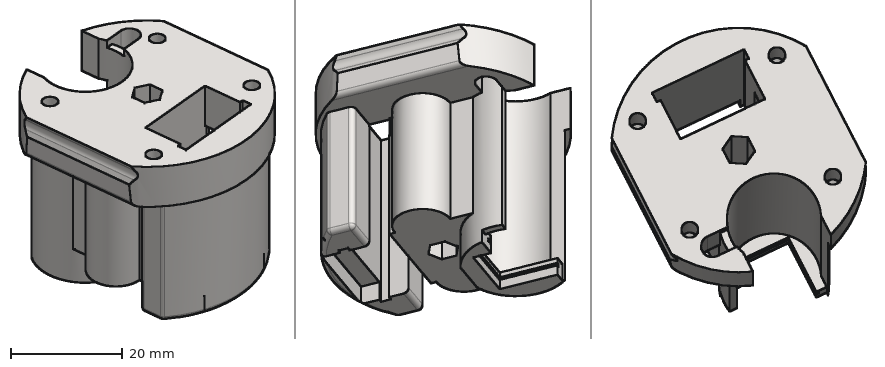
import cadquery as cq
import math

overall_length = 44.6
deck_thickness = 8.8
core_bottom = -33.73
leg_bottom = -34.75
tube_bottom = -41.0
deck_bottom = -deck_thickness

tube_x = -14.35
tube_radius = 9.95
tube_flat_x = -5.1
bore_radius = 8.48
mouth_half_width = 7.8

deck_radius = (overall_length**2 + mouth_half_width**2) / (2 * overall_length)

side_distance = 19.515
ridge_distance = 19.695
groove_floor_distance = 18.83
groove_edge_distance = 19.2
groove_top = -0.9
groove_bottom = -3.0
ridge_z = -4.05

edge_radius = 1.0

floor_top = -37.45
floor_front_x = -20.0
opening_half_width = 5.7
opening_back_x = -8.55
slit_top = -38.45
slit_bottom = -39.0
slit_y_min = -6.25
slit_y_max = 6.8
slit_back_x = -7.6

cable_x_min = -16.15
cable_x_max = -12.1
cable_y_end = 14.28
cable_step_z = -1.55
cable_radius = (cable_x_max - cable_x_min) / 2

core_half_width = 8.9
post_radius = 5.5
hex_across_flats = 5.05

pocket_x_min = 6.5
pocket_x_max = 16.55
pocket_half_width = 8.48
strip_x_min = 14.65
strip_half_width = 9.25

leg_x_min = 10.75
leg_half_width = 15.25
leg_radius = 22.05
notch_x_max = 20.15
notch_top = -30.95

screw_diameter = 3.0
screw_depth = 6.7
drill_tip_angle = 118
screw_places = [(-9.55, 14.55), (12.95, 13.9), (-12.0, -13.0), (12.95, -14.05)]

beyond = overall_length


def box(x_min, x_max, y_min, y_max, z_min, z_max):
    size = (x_max - x_min, y_max - y_min, z_max - z_min)
    return cq.Workplane("XY", origin=(x_min, y_min, z_min)).box(*size, centered=False)


def cylinder(radius, x, y, z_min, z_max):
    return cq.Workplane("XY", origin=(x, y, z_min)).circle(radius).extrude(z_max - z_min)


def make_deck():
    """Disc cut to two parallel sides, each with a round groove, a ridge and a rounded lower edge."""
    groove_middle = (groove_top + groove_bottom) / 2
    arc_inset = edge_radius * (1 - math.sqrt(0.5))
    half_slab = (
        cq.Workplane("YZ", origin=(-beyond, 0, 0))
        .lineTo(side_distance, 0)
        .lineTo(groove_edge_distance, groove_top)
        .threePointArc((groove_floor_distance, groove_middle), (groove_edge_distance, groove_bottom))
        .lineTo(ridge_distance, ridge_z)
        .lineTo(side_distance, deck_bottom + edge_radius)
        .threePointArc(
            (side_distance - arc_inset, deck_bottom + arc_inset),
            (side_distance - edge_radius, deck_bottom),
        )
        .lineTo(0, deck_bottom)
        .close()
        .extrude(2 * beyond)
    )
    slab = half_slab.union(half_slab.mirror("XZ"))
    return cylinder(deck_radius, 0, 0, deck_bottom, 0).intersect(slab)


def make_core():
    """Block between the tube and the pocket, with a post on its +Y and -Y sides."""
    core = box(tube_x, pocket_x_min, -core_half_width, core_half_width, core_bottom, deck_bottom)
    for post_y in (-core_half_width, core_half_width):
        core = core.union(cylinder(post_radius, 0, post_y, core_bottom, deck_bottom))
    return core


def make_tube():
    """Outer shape of the tube, flattened on the side of the core."""
    flat_limit = box(-beyond, tube_flat_x, -beyond, beyond, tube_bottom, deck_bottom)
    return cylinder(tube_radius, tube_x, 0, tube_bottom, deck_bottom).intersect(flat_limit)


def make_legs():
    """Rounded sector under the deck that the pocket later divides into two legs and a wall."""
    limit = box(leg_x_min, beyond, -leg_half_width, leg_half_width, leg_bottom, deck_bottom)
    legs = cylinder(leg_radius, 0, 0, leg_bottom, deck_bottom).intersect(limit)
    legs = legs.edges("|Z").fillet(edge_radius)
    return legs.faces("<Z").edges().fillet(edge_radius)


def make_bore():
    """Bore of the tube and its mouth, down to the floor."""
    bore = cylinder(bore_radius, tube_x, 0, floor_top, 0)
    return bore.union(box(-beyond, tube_x, -mouth_half_width, mouth_half_width, floor_top, 0))


def make_floor_cuts():
    """Opening and slit in the floor, and the open front of the floor."""
    opening = box(
        -beyond, opening_back_x, -opening_half_width, opening_half_width, tube_bottom, floor_top
    )
    slit = box(-beyond, slit_back_x, slit_y_min, slit_y_max, slit_bottom, slit_top)
    front = box(-beyond, floor_front_x, -mouth_half_width, 0, tube_bottom, floor_top)
    cable_side = box(-beyond, cable_x_max, 0, beyond, tube_bottom, slit_top)
    above_slit = cylinder(bore_radius, tube_x, 0, slit_top, floor_top).intersect(
        box(-beyond, cable_x_max, 0, beyond, slit_top, floor_top)
    )
    return opening.union(slit).union(front).union(cable_side).union(above_slit)


def make_cable_slot():
    """Round-ended slot through the deck, shallow where it crosses the tube wall."""
    round_y = cable_y_end - cable_radius
    slot = box(cable_x_min, cable_x_max, 0, round_y, deck_bottom, 0)
    slot = slot.union(cylinder(cable_radius, cable_x_min + cable_radius, round_y, deck_bottom, 0))
    return slot.cut(cylinder(tube_radius, tube_x, 0, deck_bottom, cable_step_z))


def make_wall_end():
    """Removes the +Y tube wall in front of the cable slot, below the deck."""
    return box(-beyond, cable_x_min, 0, beyond, tube_bottom, deck_bottom)


def make_hex_hole():
    """Hexagonal hole through deck and core, with two corners on the X axis."""
    corner_diameter = hex_across_flats / math.cos(math.pi / 6)
    return cq.Workplane("XY").polygon(6, corner_diameter).extrude(core_bottom)


def make_pocket():
    """Pocket through deck and legs, with the notch at the foot of the outer wall."""
    pocket = box(pocket_x_min, pocket_x_max, -pocket_half_width, pocket_half_width, leg_bottom, 0)
    strip = box(strip_x_min, pocket_x_max, -strip_half_width, strip_half_width, leg_bottom, 0)
    notch = box(
        strip_x_min, notch_x_max, -pocket_half_width, pocket_half_width, leg_bottom, notch_top
    )
    return pocket.union(strip).union(notch)


def make_screw_hole(x, y):
    """Blind hole with a conical end."""
    radius = screw_diameter / 2
    tip_length = radius / math.tan(math.radians(drill_tip_angle / 2))
    return (
        cq.Workplane("XZ")
        .lineTo(radius, 0)
        .lineTo(radius, -screw_depth)
        .lineTo(0, -screw_depth - tip_length)
        .close()
        .revolve(360, (0, 0), (0, 1))
        .translate((x, y, 0))
    )


def make_housing():
    housing = make_deck().union(make_core()).union(make_tube()).union(make_legs())
    housing = housing.cut(make_bore())
    housing = housing.cut(make_floor_cuts())
    housing = housing.cut(make_wall_end())
    housing = housing.cut(make_cable_slot())
    housing = housing.cut(make_hex_hole())
    housing = housing.cut(make_pocket())
    for x, y in screw_places:
        housing = housing.cut(make_screw_hole(x, y))
    return housing


housing = make_housing()
result = cq.Compound.makeCompound([housing.val()])